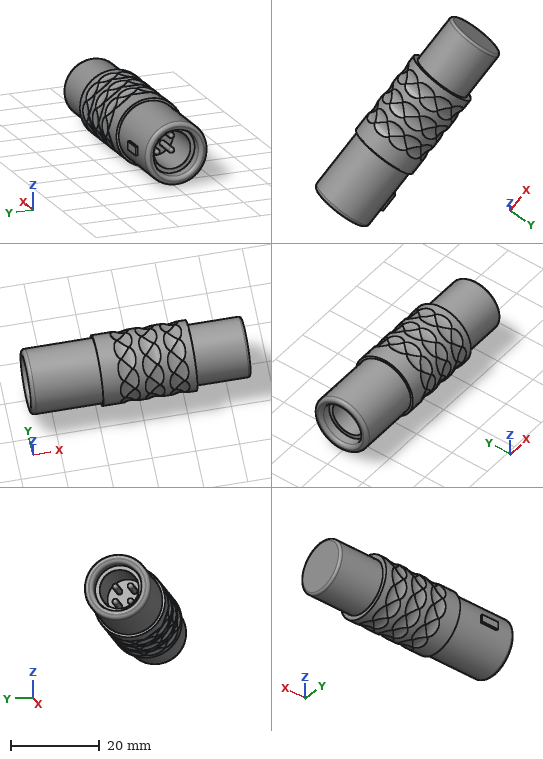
import cadquery as cq

length = 50.3
collar_radius = 8.1
collar_start = 16.3
collar_end = 37.85

nose_radius = 7.5
tail_radius = 6.95
tail_edge_round = 0.6

mouth_radius = 5.5
mouth_depth = 3.0
mouth_edge_round = 0.9
socket_radius = 4.5
socket_depth = 13.1

pin_radius = 0.65
pin_length = 6.05
pin_spacing = 3.45

key_start = 5.2
key_length = 4.6
key_width = 2.0
key_top = 8.0

band_count = 3
band_pitch = 5.7
first_band = 22.5
row_offset = 1.1
scallops_per_row = 10
scallop_depth = 0.45
scallop_radius = 3.15
scallop_length = 6.05


def cylinder_along_x(start, end, radius):
    return cq.Workplane("YZ", origin=(start, 0, 0)).circle(radius).extrude(end - start)


def make_body():
    """Nose with a rounded mouth, grip collar and tail, hollowed by the socket."""
    mouth = cylinder_along_x(0, mouth_depth, mouth_radius)
    nose = cylinder_along_x(0, collar_start, nose_radius).cut(mouth)
    nose = nose.faces("<X").edges().fillet(mouth_edge_round)
    collar = cylinder_along_x(collar_start, collar_end, collar_radius)
    tail = cylinder_along_x(collar_end, length, tail_radius)
    tail = tail.faces(">X").edges().fillet(tail_edge_round)
    socket = cylinder_along_x(mouth_depth, socket_depth, socket_radius)
    return nose.union(collar).union(tail).cut(socket)


def make_pins():
    """Four pins with hemispherical tips standing on the socket floor."""
    tip_centre = socket_depth - pin_length + pin_radius
    shank = cylinder_along_x(tip_centre, socket_depth, pin_radius)
    tip = cq.Workplane("XY", origin=(tip_centre, 0, 0)).sphere(pin_radius)
    pin = shank.union(tip)
    pins = cq.Workplane()
    for y in (-pin_spacing / 2, pin_spacing / 2):
        for z in (-pin_spacing / 2, pin_spacing / 2):
            pins = pins.add(pin.translate((0, y, z)))
    return pins.combine()


def make_key():
    """Block from the middle of the nose wall out to the key top."""
    key_root = (mouth_radius + nose_radius) / 2
    return cq.Workplane("XY", origin=(key_start, key_root, 0)).box(
        key_length, key_top - key_root, key_width, centered=(False, False, True)
    )


def make_scallop_row(x, phase):
    """Cutting cylinders lying tangentially around the collar; phase is in degrees from -Y."""
    axis_distance = collar_radius - scallop_depth + scallop_radius
    cutter = cq.Solid.makeCylinder(
        scallop_radius,
        scallop_length,
        cq.Vector(x, -axis_distance, -scallop_length / 2),
        cq.Vector(0, 0, 1),
    )
    step = 360 / scallops_per_row
    return [
        cutter.rotate(cq.Vector(0, 0, 0), cq.Vector(1, 0, 0), phase + i * step)
        for i in range(scallops_per_row)
    ]


def cut_grip(body):
    half_step = 180 / scallops_per_row
    for band in range(band_count):
        middle = first_band + band * band_pitch
        front_row = make_scallop_row(middle - row_offset / 2, half_step)
        back_row = make_scallop_row(middle + row_offset / 2, 0)
        for cutter in front_row + back_row:
            body = body.cut(cq.Workplane(cutter))
    return body


result = cut_grip(make_body()).union(make_pins()).union(make_key())